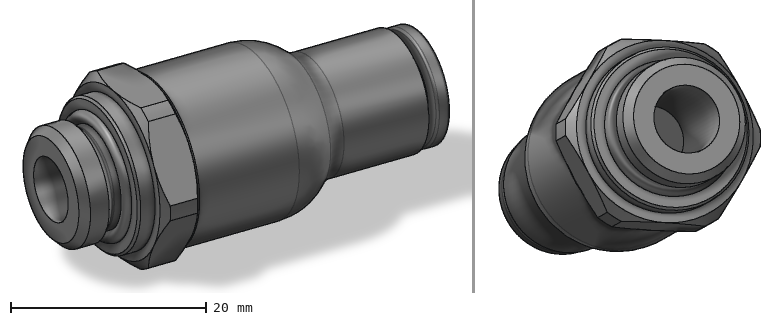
import cadquery as cq
import math

length = 43.6

thread_radius = 6.6
thread_chamfer = 0.87
thread_end = 3.1
bore_radius = 3.55
bore_depth = 12.2

neck_radius = 5.65
relief_fillet = 0.52
relief_angle = math.radians(45)

ring_section_radius = 0.75
ring_centre_radius = 6.35
ring_centre_y = 5.5

collar_start = 5.45
collar_radius = 8.5
collar_chamfer = 0.25

hex_start = 7.4
hex_end = 11.95
across_flats = 19.0
hex_corner_radius = 10.5
hex_chamfer = 0.65

body_radius = across_flats / 2
body_end = 23.95
body_edge_chamfer = 0.17
dome_radius = 7.0
blend_radius = 3.0
sleeve_radius = 6.75
sleeve_end = 40.9

stem_radius = 4.65
button_radius = 6.5
button_start = 42.05
button_fillet = 0.25


def make_turned_body():
    """Revolve the round outline, from the thread to the sleeve, about Y."""
    fillet_rise = relief_fillet * (1 - math.cos(relief_angle))
    fillet_run = relief_fillet * math.sin(relief_angle)
    shoulder_radius = neck_radius + fillet_rise
    shoulder_y = thread_end + (thread_radius - shoulder_radius) / math.tan(relief_angle)
    half_angle = relief_angle / 2
    fillet_mid = (
        neck_radius + relief_fillet * (1 - math.cos(half_angle)),
        shoulder_y + fillet_run - relief_fillet * math.sin(half_angle),
    )

    turn = math.acos(1 - (body_radius - sleeve_radius) / (dome_radius + blend_radius))
    dome_end = (
        body_radius - dome_radius * (1 - math.cos(turn)),
        body_end + dome_radius * math.sin(turn),
    )
    dome_mid = (
        body_radius - dome_radius * (1 - math.cos(turn / 2)),
        body_end + dome_radius * math.sin(turn / 2),
    )
    blend_end_y = body_end + (dome_radius + blend_radius) * math.sin(turn)
    blend_mid = (
        sleeve_radius + blend_radius * (1 - math.cos(turn / 2)),
        blend_end_y - blend_radius * math.sin(turn / 2),
    )

    outline = (
        cq.Workplane("XY")
        .lineTo(thread_radius - thread_chamfer, 0)
        .lineTo(thread_radius, thread_chamfer)
        .lineTo(thread_radius, thread_end)
        .lineTo(shoulder_radius, shoulder_y)
        .threePointArc(fillet_mid, (neck_radius, shoulder_y + fillet_run))
        .lineTo(neck_radius, collar_start)
        .lineTo(collar_radius - collar_chamfer, collar_start)
        .lineTo(collar_radius, collar_start + collar_chamfer)
        .lineTo(collar_radius, hex_end)
        .lineTo(body_radius - body_edge_chamfer, hex_end)
        .lineTo(body_radius, hex_end + body_edge_chamfer)
        .lineTo(body_radius, body_end)
        .threePointArc(dome_mid, dome_end)
        .threePointArc(blend_mid, (sleeve_radius, blend_end_y))
        .lineTo(sleeve_radius, sleeve_end)
        .lineTo(0, sleeve_end)
        .close()
    )
    return outline.revolve(360, (0, 0, 0), (0, 1, 0))


def plane_at(start):
    """Workplane facing -Y at the given distance from the threaded end."""
    return cq.Workplane("XZ", origin=(0, start, 0))


def cylinder(radius, start, end):
    """Solid cylinder about Y between two distances from the threaded end."""
    return plane_at(start).circle(radius).extrude(start - end)


def make_hexagon():
    """Hexagon with two flats level, trimmed by a cylinder with coned ends."""
    corner_diameter = across_flats / math.cos(math.radians(30))
    prism = plane_at(hex_start).polygon(6, corner_diameter).extrude(hex_start - hex_end)
    trimmer = (
        cq.Workplane("XY", origin=(0, hex_start, 0))
        .lineTo(body_radius, 0)
        .lineTo(hex_corner_radius, hex_chamfer)
        .lineTo(hex_corner_radius, hex_end - hex_start - hex_chamfer)
        .lineTo(body_radius, hex_end - hex_start)
        .lineTo(0, hex_end - hex_start)
        .close()
        .revolve(360, (0, 0, 0), (0, 1, 0))
    )
    return prism.intersect(trimmer)


def make_sealing_ring():
    return (
        cq.Workplane("XY")
        .center(ring_centre_radius, ring_centre_y)
        .circle(ring_section_radius)
        .revolve(360, (-ring_centre_radius, 0, 0), (-ring_centre_radius, 1, 0))
    )


def make_button():
    disc = cylinder(button_radius, button_start, length).edges().fillet(button_fillet)
    return disc.union(cylinder(stem_radius, sleeve_end, button_start))


result = (
    make_turned_body()
    .union(make_hexagon())
    .union(make_sealing_ring())
    .union(make_button())
    .cut(cylinder(bore_radius, 0, bore_depth))
)